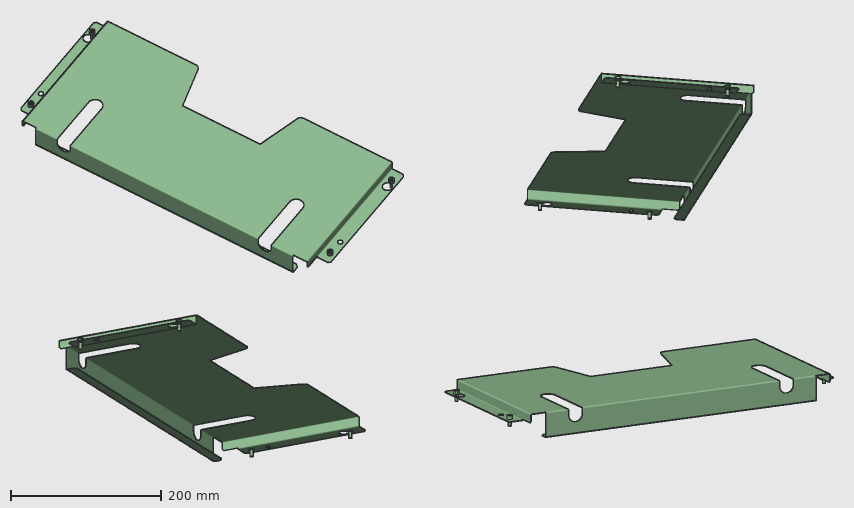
import cadquery as cq
import math

thickness = 1.0
bend_inner = 1.0
bend_outer = bend_inner + thickness

overall_width = 492.5
overall_depth = 210.0
overall_height = 35.0
plate_width = 453.0

side_height = 15.0
flange_length = 183.5
flange_corner_chamfer = 3.0
web_corner_chamfer = 2.5

panel_width = 409.0
lip_depth = 15.5
lip_corner_chamfer = 4.0

notch_floor_width = 123.0
notch_depth = 69.5
notch_flank_angle = 15.0
notch_corner_radius = 7.5

slot_spacing = 319.0
slot_width = 20.5
slot_back = 87.5
slot_bottom = 18.0

screw_spacing_x = 475.5
screw_spacing_y = 149.5
back_screw_inset = 19.5
keyhole_offset = 10.0
keyhole_diameter = 13.5
small_hole_diameter = 7.0
small_hole_offset = 24.5
shank_diameter = 4.5
shank_length = 10.0
head_diameter = 8.0
head_height = 5.0
socket_width = 4.0
socket_depth = 2.5

back_screw_y = overall_depth - back_screw_inset
front_screw_y = back_screw_y - screw_spacing_y
flange_front_y = overall_depth - flange_length
flange_top = thickness - side_height
flange_bend_start = bend_outer - side_height


def make_hat():
    """Top plate, side webs and mounting flanges, bent from one strip of constant section."""
    flange_width = (overall_width - plate_width) / 2 - bend_inner
    web_height = side_height - 2 * bend_outer
    flat_width = plate_width - 2 * bend_outer
    hat = (
        cq.Workplane("XZ", origin=(0, overall_depth, 0))
        .moveTo(-overall_width / 2, -side_height)
        .line(flange_width, 0)
        .tangentArcPoint((bend_outer, bend_outer))
        .line(0, web_height)
        .tangentArcPoint((bend_inner, bend_inner))
        .line(flat_width, 0)
        .tangentArcPoint((bend_inner, -bend_inner))
        .line(0, -web_height)
        .tangentArcPoint((bend_outer, -bend_outer))
        .line(flange_width, 0)
        .line(0, thickness)
        .line(-flange_width, 0)
        .tangentArcPoint((-bend_inner, bend_inner))
        .line(0, web_height)
        .tangentArcPoint((-bend_outer, bend_outer))
        .line(-flat_width, 0)
        .tangentArcPoint((-bend_outer, -bend_outer))
        .line(0, -web_height)
        .tangentArcPoint((-bend_inner, -bend_inner))
        .line(-flange_width, 0)
        .close()
        .extrude(overall_depth - bend_outer)
    )
    flange_trim = (
        cq.Workplane("XY")
        .workplane(offset=flange_bend_start)
        .rect(overall_width, 2 * flange_front_y)
        .extrude(-side_height)
    )
    hat = hat.cut(flange_trim)

    front_web_corners = cq.selectors.BoxSelector(
        (-plate_width / 2, 0, flange_bend_start - thickness),
        (plate_width / 2, bend_outer + thickness, flange_bend_start + thickness),
    )
    hat = hat.edges("|X").edges(front_web_corners).chamfer(web_corner_chamfer)

    for flange_edge in ("<X", ">X"):
        hat = hat.faces(flange_edge).edges("|Z").chamfer(flange_corner_chamfer)
    return hat


def cut_notch(body):
    """Trapezoidal notch in the back edge, with rounded corners at its mouth."""
    floor_half = notch_floor_width / 2
    mouth_half = floor_half + notch_depth * math.tan(math.radians(notch_flank_angle))
    notch = (
        cq.Workplane("XY")
        .moveTo(-mouth_half, overall_depth)
        .lineTo(-floor_half, overall_depth - notch_depth)
        .lineTo(floor_half, overall_depth - notch_depth)
        .lineTo(mouth_half, overall_depth)
        .close()
        .extrude(-side_height)
    )
    body = body.cut(notch)
    for side in (-1, 1):
        mouth_corner = cq.selectors.NearestToPointSelector((side * mouth_half, overall_depth, -thickness / 2))
        body = body.edges("|Z").edges(mouth_corner).fillet(notch_corner_radius)
    return body


def make_front_panel():
    """Panel bent down from the front of the plate, with a lip returning backwards at its foot."""
    lip_flat = lip_depth - bend_outer
    panel_flat = overall_height - 2 * bend_outer
    panel = (
        cq.Workplane("YZ", origin=(-panel_width / 2, 0, 0))
        .moveTo(lip_depth, -overall_height)
        .line(-lip_flat, 0)
        .tangentArcPoint((-bend_outer, bend_outer))
        .line(0, panel_flat)
        .tangentArcPoint((bend_outer, bend_outer))
        .line(0, -thickness)
        .radiusArc((thickness, -bend_outer), -bend_inner)
        .line(0, -panel_flat)
        .tangentArcPoint((bend_inner, -bend_inner))
        .line(lip_flat, 0)
        .close()
        .extrude(panel_width)
    )
    return panel.edges("|Z").edges(">Y").chamfer(lip_corner_chamfer)


def cut_cable_slots(body):
    """Round-ended slots in the plate that carry on down into the front panel."""
    radius = slot_width / 2
    plate_length = slot_back - radius
    panel_length = slot_bottom - radius
    for x in (-slot_spacing / 2, slot_spacing / 2):
        plate_slot = (
            cq.Workplane("XY", origin=(x, 0, 0))
            .rect(slot_width, 2 * plate_length)
            .extrude(-bend_outer)
            .union(cq.Workplane("XY", origin=(x, plate_length, 0)).circle(radius).extrude(-bend_outer))
        )
        panel_slot = (
            cq.Workplane("XZ", origin=(x, 0, 0))
            .rect(slot_width, 2 * panel_length)
            .extrude(-bend_outer)
            .union(cq.Workplane("XZ", origin=(x, 0, -panel_length)).circle(radius).extrude(-bend_outer))
        )
        body = body.cut(plate_slot).cut(panel_slot)
    return body


def flange_hole(x, y, diameter):
    """Cutter for a round hole through a mounting flange."""
    return cq.Workplane("XY", origin=(x, y, flange_top)).circle(diameter / 2).extrude(-thickness)


def cut_flange_holes(body):
    """Keyhole, small hole and front screw hole in each mounting flange."""
    for x in (-screw_spacing_x / 2, screw_spacing_x / 2):
        keyhole_neck = (
            cq.Workplane("XY", origin=(x, back_screw_y - keyhole_offset / 2, flange_top))
            .rect(shank_diameter, keyhole_offset)
            .extrude(-thickness)
        )
        body = (
            body.cut(flange_hole(x, back_screw_y, shank_diameter))
            .cut(keyhole_neck)
            .cut(flange_hole(x, back_screw_y - keyhole_offset, keyhole_diameter))
            .cut(flange_hole(x, front_screw_y + small_hole_offset, small_hole_diameter))
            .cut(flange_hole(x, front_screw_y, shank_diameter))
        )
    return body


def make_cover():
    """The complete sheet-metal cover."""
    cover = cut_notch(make_hat()).union(make_front_panel())
    return cut_flange_holes(cut_cable_slots(cover))


def make_screw(x, y):
    """Socket-head cap screw seated on a flange."""
    head = cq.Workplane("XY", origin=(x, y, flange_top)).circle(head_diameter / 2).extrude(head_height)
    shank = cq.Workplane("XY", origin=(x, y, flange_top)).circle(shank_diameter / 2).extrude(-shank_length)
    socket = (
        cq.Workplane("XY", origin=(x, y, flange_top + head_height))
        .polygon(6, socket_width, circumscribed=True)
        .extrude(-socket_depth)
    )
    return head.union(shank).cut(socket)


cover = make_cover()
screws = [
    make_screw(x, y)
    for x in (-screw_spacing_x / 2, screw_spacing_x / 2)
    for y in (front_screw_y, back_screw_y)
]

result = cq.Compound.makeCompound([cover.val(), *[screw.val() for screw in screws]])